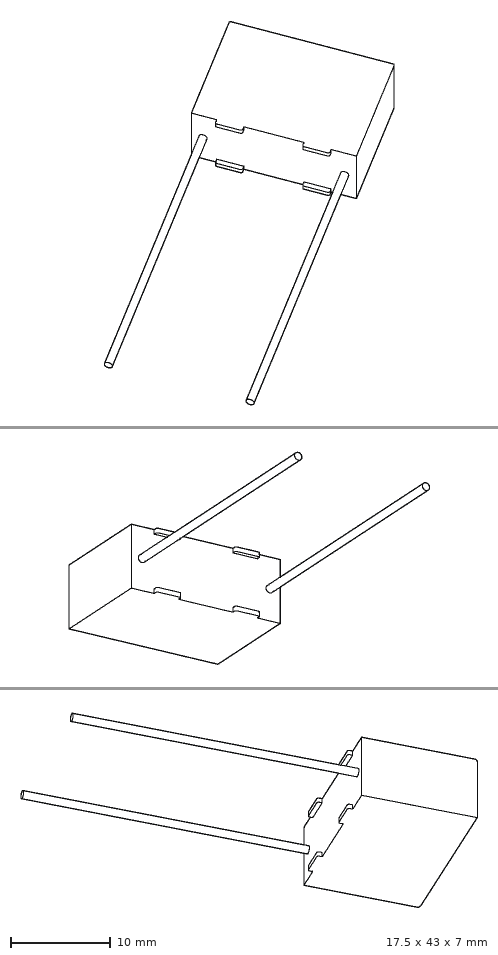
import cadquery as cq

case_width = 17.5
case_depth = 12.5
case_height = 7.0
back_edge_radius = 0.45

tab_width = 2.9
tab_length = 0.5
tab_thickness = 0.5
tab_spacing = 9.25
tab_corner_radius = 0.198

overall_length = 43.0
lead_length = overall_length - case_depth
lead_diameter = 0.85
lead_spacing = 15.0


def make_tab(x_center, z_bottom):
    """Standoff tab with its base on the mounting face and its outer corners rounded."""
    tab = cq.Workplane("XY").box(tab_width, tab_length, tab_thickness, centered=(True, False, False))
    tab = tab.translate((x_center, -tab_length, z_bottom))
    return tab.edges("|Z and <Y").fillet(tab_corner_radius)


def make_case():
    """Case with rounded back edges and four standoff tabs."""
    case = cq.Workplane("XY").box(case_width, case_depth, case_height, centered=(True, False, True))
    case = case.faces(">Y").edges().fillet(back_edge_radius)
    for x_center in (-tab_spacing / 2, tab_spacing / 2):
        for z_bottom in (-case_height / 2, case_height / 2 - tab_thickness):
            case = case.union(make_tab(x_center, z_bottom))
    return case


def make_lead(x_center):
    """Round wire lead running straight out of the mounting face toward -Y."""
    lead = cq.Workplane("XZ").center(x_center, 0).circle(lead_diameter / 2)
    return lead.extrude(lead_length)


case = make_case()
leads = [make_lead(x_center) for x_center in (-lead_spacing / 2, lead_spacing / 2)]

result = cq.Compound.makeCompound([case.val(), *[lead.val() for lead in leads]])